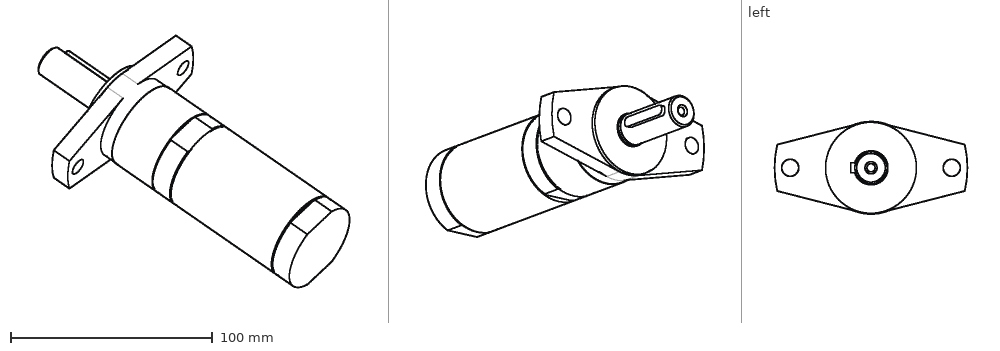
import cadquery as cq
import math

pilot_front = 41.7
flange_front = 43.8
flange_back = 54.1
body_front = 61.6
groove_front = 87.9
groove_back = 100.0
body_back = 166.3
overall_length = 177.5

shaft_diameter = 16.0
collar_diameter = 16.9
pilot_diameter = 45.0
neck_diameter = 45.5
body_diameter = 46.0

shaft_chamfer = 0.9
collar_length = 2.1
collar_chamfer_length = 1.0
collar_chamfer_depth = 0.4
center_hole_diameter = 4.0
center_hole_depth = 8.9
center_hole_mouth_diameter = 6.0
drill_point_angle = 120.0

key_start = 3.9
key_length = 30.0
key_width = 5.0
key_top = 10.0
key_bottom = 5.0

flange_width = 95.7
flange_corner_y = 46.5
flange_corner_z = 11.5
mount_hole_diameter = 8.3
mount_hole_pitch = 80.0

across_flats = 42.0
edge_chamfer = 0.5


def cylinder(start, end, diameter):
    """Solid cylinder on the X axis between two stations."""
    return cq.Workplane("YZ", origin=(start, 0, 0)).circle(diameter / 2).extrude(end - start)


def make_shaft():
    shaft = cylinder(0, pilot_front, shaft_diameter).faces("<X").chamfer(shaft_chamfer)
    collar = cylinder(pilot_front - collar_length, pilot_front, collar_diameter)
    collar = collar.faces("<X").chamfer(collar_chamfer_length, collar_chamfer_depth)
    return shaft.union(collar)


def make_key():
    """Round-ended key standing out of the shaft."""
    middle = key_start + key_length / 2
    return (
        cq.Workplane("XZ", origin=(middle, key_top, 0))
        .slot2D(key_length, key_width)
        .extrude(key_top - key_bottom)
    )


def make_center_hole():
    """Blind hole in the shaft tip with a conical mouth and a drill point."""
    radius = center_hole_diameter / 2
    mouth_radius = center_hole_mouth_diameter / 2
    point_length = radius / math.tan(math.radians(drill_point_angle / 2))
    return (
        cq.Workplane("XY")
        .polyline([
            (0, 0),
            (0, mouth_radius),
            (mouth_radius - radius, radius),
            (center_hole_depth, radius),
            (center_hole_depth + point_length, 0),
        ])
        .close()
        .revolve(360, (0, 0, 0), (1, 0, 0))
    )


def make_flange():
    """Two-bolt plate with arc ends and sides tangent to the neck."""
    neck_radius = neck_diameter / 2
    corner_distance = math.hypot(flange_corner_y, flange_corner_z)
    corner_angle = math.atan2(flange_corner_z, flange_corner_y)
    tangent_angle = corner_angle + math.acos(neck_radius / corner_distance)
    tangent_y = neck_radius * math.cos(tangent_angle)
    tangent_z = neck_radius * math.sin(tangent_angle)
    plate = (
        cq.Workplane("YZ", origin=(flange_front, 0, 0))
        .moveTo(flange_corner_y, -flange_corner_z)
        .threePointArc((flange_width / 2, 0), (flange_corner_y, flange_corner_z))
        .lineTo(tangent_y, tangent_z)
        .threePointArc((0, neck_radius), (-tangent_y, tangent_z))
        .lineTo(-flange_corner_y, flange_corner_z)
        .threePointArc((-flange_width / 2, 0), (-flange_corner_y, -flange_corner_z))
        .lineTo(-tangent_y, -tangent_z)
        .threePointArc((0, -neck_radius), (tangent_y, -tangent_z))
        .close()
        .extrude(flange_back - flange_front)
    )
    holes = (
        cq.Workplane("YZ", origin=(flange_front, 0, 0))
        .pushPoints([(-mount_hole_pitch / 2, 0), (mount_hole_pitch / 2, 0)])
        .circle(mount_hole_diameter / 2)
        .extrude(flange_back - flange_front)
    )
    return plate.cut(holes)


def make_flats(start, end):
    """Stock removed above and below a pair of flats."""
    length = end - start
    blank = cq.Workplane("XY").box(length, body_diameter, 2 * body_diameter)
    kept = cq.Workplane("XY").box(length, body_diameter, across_flats)
    return blank.cut(kept).translate((start + length / 2, 0, 0))


def make_relief(start_diameter, start, end_diameter, end):
    """Ring of stock removed outside a cone between two stations."""
    clear_radius = body_diameter
    return (
        cq.Workplane("XY")
        .polyline([
            (start, start_diameter / 2),
            (start, clear_radius),
            (end, clear_radius),
            (end, end_diameter / 2),
        ])
        .close()
        .revolve(360, (0, 0, 0), (1, 0, 0))
    )


pilot = cylinder(pilot_front, flange_front, pilot_diameter)
neck = cylinder(flange_front, body_front, neck_diameter)
body = cylinder(body_front, overall_length, body_diameter)
body = body.cut(make_flats(groove_front, groove_back)).cut(make_flats(body_back, overall_length))

chamfered_diameter = body_diameter - 2 * edge_chamfer
body = body.cut(make_relief(chamfered_diameter, groove_front, body_diameter, groove_front + edge_chamfer))
for edge in (groove_back, body_back):
    body = body.cut(make_relief(body_diameter, edge - edge_chamfer, chamfered_diameter, edge))

result = make_shaft().union(make_key()).union(pilot).union(neck).union(body).union(make_flange())
result = result.cut(make_center_hole())